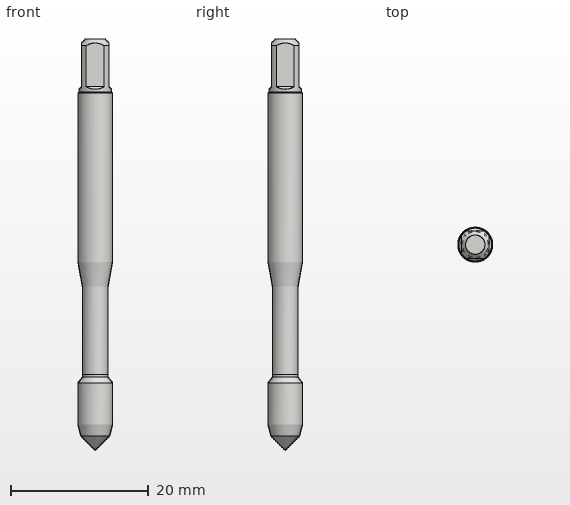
import cadquery as cq

total_length = 59.8

head_diameter = 5.1
point_base_diameter = 4.2
point_height = point_base_diameter / 2
lead_top_z = 3.75
head_top_z = 9.8
shoulder_top_z = 10.65
joint_z = 11.0

neck_diameter = 3.75
neck_top_z = 23.8
taper_top_z = 27.3
shank_diameter = 5.0
collar_z = 51.95

drive_diameter = 4.8
drive_width = 4.0
flats_bottom_z = 52.85
end_face_diameter = 2.8
collar_height = (shank_diameter - drive_diameter) / 2
end_chamfer = (drive_diameter - end_face_diameter) / 2
runout_rise = (shank_diameter - drive_width) / 2


def revolve_profile(bottom_z, top_z, outline):
    """Revolve an outline of (diameter, z) points, closed along the Z axis."""
    points = [(diameter / 2, z) for diameter, z in outline]
    profile = cq.Workplane("XZ").moveTo(0, bottom_z)
    for point in points:
        profile = profile.lineTo(*point)
    return profile.lineTo(0, top_z).close().revolve(360, (0, 0), (0, 1))


def make_head():
    """Pointed head with a lead-in cone and a shoulder up to the neck."""
    outline = [
        (point_base_diameter, point_height),
        (head_diameter, lead_top_z),
        (head_diameter, head_top_z),
        (neck_diameter, shoulder_top_z),
        (neck_diameter, joint_z),
    ]
    return revolve_profile(0, joint_z, outline)


def make_flat_cutter():
    """Prism that cuts the +X drive flat, with a 45 degree runout at its foot."""
    flat_x = drive_width / 2
    outer_x = flat_x + runout_rise
    outline = [
        (flat_x, total_length),
        (flat_x, flats_bottom_z),
        (outer_x, flats_bottom_z - runout_rise),
        (outer_x, total_length),
    ]
    return cq.Workplane("XZ").polyline(outline).close().extrude(shank_diameter / 2, both=True)


def make_shank():
    """Neck, taper and shank with a square drive at the top."""
    outline = [
        (neck_diameter, joint_z),
        (neck_diameter, neck_top_z),
        (shank_diameter, taper_top_z),
        (shank_diameter, collar_z),
        (drive_diameter, collar_z + collar_height),
        (drive_diameter, total_length - end_chamfer),
        (end_face_diameter, total_length),
    ]
    shank = revolve_profile(joint_z, total_length, outline)
    flat_cutter = make_flat_cutter()
    for angle in (0, 90, 180, 270):
        shank = shank.cut(flat_cutter.rotate((0, 0, 0), (0, 0, 1), angle))
    return shank.solids()


head = make_head()
shank = make_shank()

result = cq.Compound.makeCompound([head.val(), shank.val()])